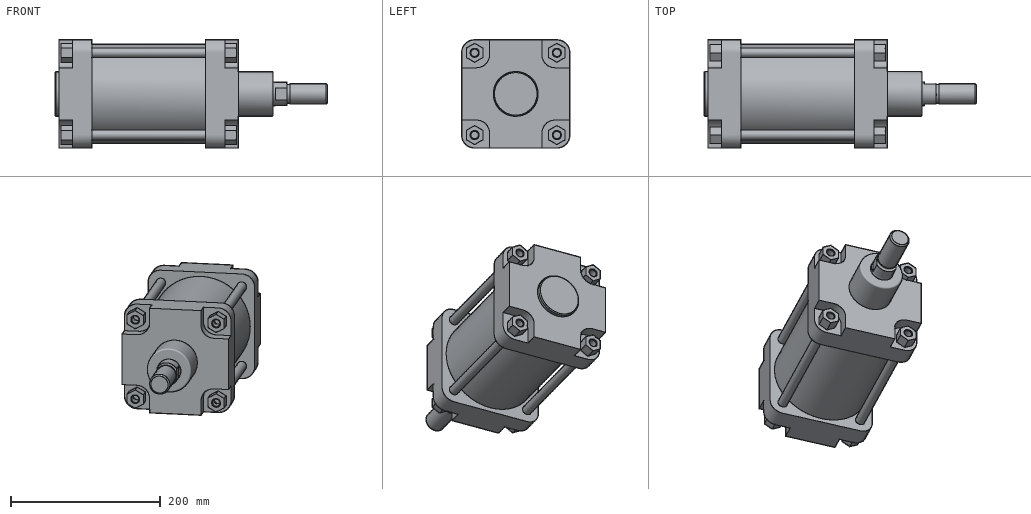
import cadquery as cq
import math

total_length = 365.0
cap_side = 145.0
cap_thickness = 44.0
barrel_length = 152.0
barrel_diameter = 133.0

tie_rod_offset = 55.0
cap_corner_radius = cap_side / 2 - tie_rod_offset
pocket_reach = 37.5
pocket_corner_radius = cap_corner_radius
pocket_depth = 18.0

boss_diameter = 60.0
rear_boss_length = 5.5
rear_boss_chamfer = 1.5
front_boss_length = 46.5
front_boss_fillet = 2.0

tie_rod_diameter = 13.0
nut_sides = 6
nut_across_flats = 22.0
nut_turn = 90.0
nut_height = 15.5
nut_bore_diameter = 10.0
nut_bore_mouth_diameter = 12.0
nut_bore_depth = nut_height

rod_diameter = 32.0
rod_flats_width = 27.0
collar_length = 1.8
collar_taper_length = 1.2
neck_diameter = 31.4
flats_end = 310.5
thread_diameter = 27.5
thread_start = 314.7
thread_end_chamfer = 2.0
relief_diameter = 25.5
relief_fillet = (thread_diameter - relief_diameter) / 2

rear_cap_x = rear_boss_length
barrel_x = rear_cap_x + cap_thickness
front_cap_x = barrel_x + barrel_length
front_face_x = front_cap_x + cap_thickness
boss_end_x = front_face_x + front_boss_length
rear_seat_x = rear_cap_x + pocket_depth
front_seat_x = front_face_x - pocket_depth

tie_rod_centres = [
    (y, z)
    for y in (-tie_rod_offset, tie_rod_offset)
    for z in (-tie_rod_offset, tie_rod_offset)
]


def plane_at(x):
    """YZ plane at station x, with local axes along Y and Z and normal along +X."""
    return cq.Workplane("YZ", origin=(x, 0, 0))


def cap_plate(start_x, pocket_start_x):
    """Square plate with rounded corners, nut pockets and tie rod holes."""
    plate = (
        plane_at(start_x)
        .rect(cap_side, cap_side)
        .extrude(cap_thickness)
        .edges("|X")
        .fillet(cap_corner_radius)
    )
    pocket_side = 2 * pocket_reach
    pockets = (
        plane_at(pocket_start_x)
        .rect(cap_side, cap_side, forConstruction=True)
        .vertices()
        .rect(pocket_side, pocket_side)
        .extrude(pocket_depth)
        .edges("|X")
        .fillet(pocket_corner_radius)
    )
    holes = plane_at(start_x).pushPoints(tie_rod_centres).circle(tie_rod_diameter / 2).extrude(cap_thickness)
    return plate.cut(pockets).cut(holes)


def make_rear_cap():
    """Rear cap with a short chamfered boss."""
    boss = (
        plane_at(0)
        .circle(boss_diameter / 2)
        .extrude(rear_boss_length)
        .faces("<X")
        .chamfer(rear_boss_chamfer)
    )
    return cap_plate(rear_cap_x, rear_cap_x).union(boss)


def make_front_cap():
    """Front cap with a long boss, bored through for the piston rod."""
    boss = (
        plane_at(front_face_x)
        .circle(boss_diameter / 2)
        .extrude(front_boss_length)
        .faces(">X")
        .fillet(front_boss_fillet)
    )
    bore = plane_at(front_cap_x).circle(rod_diameter / 2).extrude(boss_end_x - front_cap_x)
    return cap_plate(front_cap_x, front_seat_x).union(boss).cut(bore)


def make_barrel():
    """Barrel held between the two caps."""
    return plane_at(barrel_x).circle(barrel_diameter / 2).extrude(barrel_length)


def make_rod():
    """Piston rod turned about X, with two wrench flats facing -Y and +Y."""
    rod_radius = rod_diameter / 2
    thread_radius = thread_diameter / 2
    relief_radius = relief_diameter / 2
    collar_end = boss_end_x + collar_length
    flats_start = collar_end + collar_taper_length
    fillet_middle = relief_fillet * (1 - math.sqrt(0.5))
    rod = (
        cq.Workplane("XY")
        .moveTo(front_cap_x, 0)
        .lineTo(front_cap_x, rod_radius)
        .lineTo(collar_end, rod_radius)
        .lineTo(flats_start, neck_diameter / 2)
        .lineTo(flats_end, neck_diameter / 2)
        .lineTo(flats_end, thread_radius)
        .threePointArc(
            (flats_end + fillet_middle, relief_radius + fillet_middle),
            (flats_end + relief_fillet, relief_radius),
        )
        .lineTo(thread_start - relief_fillet, relief_radius)
        .threePointArc(
            (thread_start - fillet_middle, relief_radius + fillet_middle),
            (thread_start, thread_radius),
        )
        .lineTo(total_length - thread_end_chamfer, thread_radius)
        .lineTo(total_length, thread_radius - thread_end_chamfer)
        .lineTo(total_length, 0)
        .close()
        .revolve(360, (0, 0, 0), (1, 0, 0))
    )
    flats_length = flats_end - flats_start
    for side in (-1, 1):
        waste = cq.Workplane("XY").box(flats_length, rod_radius, rod_diameter, centered=(False, True, True))
        rod = rod.cut(waste.translate((flats_start, side * (rod_flats_width + rod_radius) / 2, 0)))
    return rod


def make_tie_rod(y, z):
    """Tie rod centred at (y, z), with a bored hexagonal nut seated in each cap's pocket."""
    corner_diameter = nut_across_flats / math.cos(math.pi / nut_sides)
    rod = plane_at(rear_seat_x).circle(tie_rod_diameter / 2).extrude(front_seat_x - rear_seat_x)
    mouth_chamfer = (nut_bore_mouth_diameter - nut_bore_diameter) / 2
    for seat_x, direction in ((rear_seat_x, -1), (front_seat_x, 1)):
        nut = plane_at(seat_x).polygon(nut_sides, corner_diameter).extrude(direction * nut_height)
        nut = nut.rotate((0, 0, 0), (1, 0, 0), nut_turn)
        end_x = seat_x + direction * nut_height
        bore = plane_at(end_x).circle(nut_bore_diameter / 2).extrude(-direction * nut_bore_depth)
        mouth = (
            cq.Workplane("XY")
            .polyline([
                (end_x, 0),
                (end_x, nut_bore_mouth_diameter / 2),
                (end_x - direction * mouth_chamfer, nut_bore_diameter / 2),
                (end_x - direction * mouth_chamfer, 0),
            ])
            .close()
            .revolve(360, (0, 0, 0), (1, 0, 0))
        )
        rod = rod.union(nut).cut(bore).cut(mouth)
    return rod.translate((0, y, z))


rear_cap = make_rear_cap()
front_cap = make_front_cap()
barrel = make_barrel()
piston_rod = make_rod()
tie_rods = [make_tie_rod(y, z) for y, z in tie_rod_centres]

result = cq.Compound.makeCompound(
    [rear_cap.val(), front_cap.val(), barrel.val(), piston_rod.val()] + [rod.val() for rod in tie_rods]
)